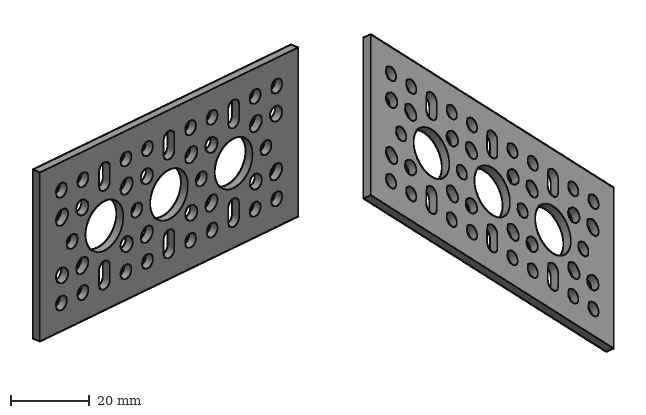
import cadquery as cq
import math

length = 96.0
thickness = 2.5
pattern_count = 4

cell_pitch = length / pattern_count
grid = cell_pitch / 3
height = 2 * cell_pitch
hole_diameter = grid / 2
bore_diameter = 14.0
bolt_circle_radius = cell_pitch / 2

outer_row = 2 * grid
inner_row = grid

slot_length = outer_row - bolt_circle_radius + hole_diameter
slot_row = (outer_row + bolt_circle_radius) / 2

diagonal_reach = bolt_circle_radius * math.cos(math.radians(45))
diagonal_offset = (grid + diagonal_reach) / 2
diagonal_length = (diagonal_reach - grid) * math.sqrt(2) + hole_diameter

cell_corners = [(i - pattern_count / 2) * cell_pitch for i in range(pattern_count + 1)]
bore_centers = cell_corners[1:-1]
cell_centers = [y + cell_pitch / 2 for y in cell_corners[:-1]]


def round_cutter(points, diameter):
    return cq.Workplane("YZ").pushPoints(points).circle(diameter / 2).extrude(thickness)


def slot_cutter(points, overall_length, angle):
    return cq.Workplane("YZ").pushPoints(points).slot2D(overall_length, hole_diameter, angle).extrude(thickness)


def cut_bores(plate):
    return plate.cut(round_cutter([(y, 0) for y in bore_centers], bore_diameter))


def cut_small_holes(plate):
    """One hole in the middle of each cell and a pair in each outer row."""
    points = [(y, 0) for y in cell_centers]
    for y in cell_centers:
        for side in (-1, 1):
            points += [(y + side * grid / 2, z) for z in (-outer_row, outer_row)]
    return plate.cut(round_cutter(points, hole_diameter))


def cut_upright_slots(plate):
    points = [(y, z) for y in bore_centers for z in (-slot_row, slot_row)]
    return plate.cut(slot_cutter(points, slot_length, 90))


def cut_diagonal_slots(plate):
    """Short slots pointing at the cell corners on either side of each cell."""
    for y_side in (-1, 1):
        corners = cell_corners[:-1] if y_side > 0 else cell_corners[1:]
        for z_side in (-1, 1):
            points = [(y + y_side * diagonal_offset, z_side * diagonal_offset) for y in corners]
            plate = plate.cut(slot_cutter(points, diagonal_length, 45 * y_side * z_side))
    return plate


plate = cq.Workplane("YZ").rect(length, height).extrude(thickness)
plate = cut_bores(plate)
plate = cut_small_holes(plate)
plate = cut_upright_slots(plate)
result = cut_diagonal_slots(plate)